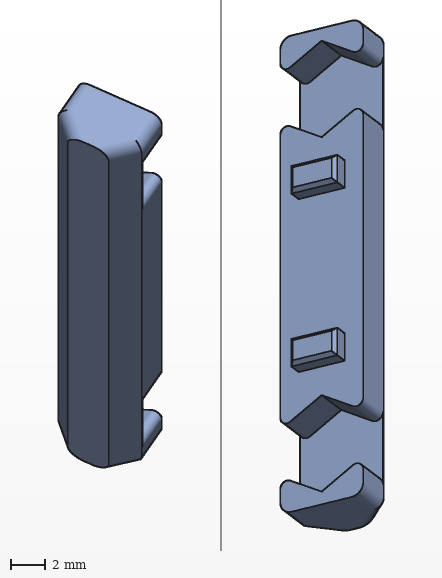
import cadquery as cq
import math

length = 31.0
width = 5.6
total_depth = 5.0
peg_length = 1.12
depth = total_depth - peg_length
front_chamfer = 1.43
end_radius = 0.78

notch_floor = 1.55
notch_from_end = 3.97
mouth_height = 3.05
wall_slope = math.radians(30)
notch_radius = 0.45

peg_width = 3.1
peg_height = 1.8
peg_spacing = 11.25
peg_chamfer = 0.25


def make_bar():
    """Bar with a chamfered front and all end edges rounded along its sides."""
    half = width / 2
    flat = half - front_chamfer
    outline = [
        (-flat, 0),
        (flat, 0),
        (half, front_chamfer),
        (half, depth),
        (-half, depth),
        (-half, front_chamfer),
    ]
    bar = cq.Workplane("XY").polyline(outline).close().extrude(length / 2, both=True)
    end_edges = bar.faces("<Z or >Z").edges("not(<Y or >Y)")
    return end_edges.fillet(end_radius)


def notch_center(end):
    """Height of the notch centre at the end given by its sign along Z."""
    return end * (length / 2 - notch_from_end)


def make_notch(end):
    """Hexagonal cutter, open at both sides, with points above and below."""
    half = width / 2
    mouth = mouth_height / 2
    point = mouth + half * math.tan(wall_slope)
    outline = [
        (-half, -mouth),
        (0, -point),
        (half, -mouth),
        (half, mouth),
        (0, point),
        (-half, mouth),
    ]
    cutter = cq.Workplane("XZ").polyline(outline).close().extrude(notch_floor - depth)
    return cutter.translate((0, notch_floor, notch_center(end)))


def round_notch_mouths(body):
    """Round the upright edges where the notch walls meet the sides of the bar."""
    middle_y = (depth + notch_floor) / 2
    reach = 0.03
    for end in (-1, 1):
        for wall in (-1, 1):
            wall_z = notch_center(end) + wall * mouth_height / 2
            for side in (-1, 1):
                x = side * width / 2
                mouth = cq.selectors.BoxSelector(
                    (x - reach, middle_y - reach, wall_z - reach),
                    (x + reach, middle_y + reach, wall_z + reach),
                )
                body = body.edges("|Y").edges(mouth).fillet(notch_radius)
    return body


def make_peg(center_z):
    """Rectangular peg with a chamfered tip."""
    peg = cq.Workplane("XZ").rect(peg_width, peg_height).extrude(-peg_length)
    peg = peg.faces(">Y").chamfer(peg_chamfer)
    return peg.translate((0, depth, center_z))


result = make_bar()
for end in (-1, 1):
    result = result.cut(make_notch(end))
result = round_notch_mouths(result)
for end in (-1, 1):
    result = result.union(make_peg(end * peg_spacing / 2))